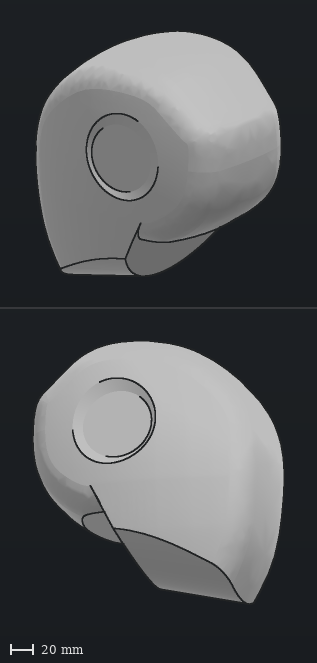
import cadquery as cq
import math

REARMOST = (107.5, 33)
SHELL_POINTS = [
    (-67.3, -134.5), (-77.2, -118), (-96.8, -77.2), (-105.0, -33.8), (-107.2, 5.5), (-100.4, 46.0), (-74.5, 82.2),
    (-35.0, 109.3), (12.3, 118), (57.5, 108.9), (89.5, 82.2), REARMOST,
]
REAR_POINTS = [REARMOST, (91.0, -21.3), (64.5, -43.7), (11.8, -52)]
CHIN_DIRECTION = (-1, 1.6)
DOWN = (0, -1)
FORWARD = (-1, 0)
SHRINK_CENTER = (0, 11.8)
SECTION_Y = 85
SIDE_SCALE = 0.82

DOME_X_RADIUS = 259.8
DOME_Z_RADIUS = 401.5
HALF_WIDTH = 76.3
SKIM = 0.05
DOME_X = -2.4
DOME_Z = 7
RIM_FILLET = 29.5

NECK_Z = -43.7
JAW_BOTTOM = (2.4, -99.2)
JAW_TOP = (42.5, -20.0)
JAW_BASE = (11.8, -134.5)
CHIN_TIP = (-77.2, -118)
CHIN_RADIUS = 91.0

RIM_CENTER = (22.0, 34.0)
RIM_AXES = (41.5, 37.3)
FLOOR_CENTER = (17.2, 31.9)
FLOOR_AXES = (32.0, 30.2)
RIM_Y = 71.8
FLOOR_Y = 70.1
RECESS_SLOPE_X = 0.08
RECESS_SLOPE_Z = 0.07

FAR = 472.3


def plane_at(y):
    """XZ plane at the given Y, with local x = X and local y = Z."""
    return cq.Plane(origin=(0, y, 0), xDir=(1, 0, 0), normal=(0, -1, 0))


def scaled(points, scale):
    cx, cz = SHRINK_CENTER
    return [(cx + scale * (x - cx), cz + scale * (z - cz)) for x, z in points]


def section(y, scale, curled_rear):
    """One shell outline, with the rear curling under or running straight down."""
    shell = scaled(SHELL_POINTS, scale)
    wire = cq.Workplane(plane_at(y)).moveTo(*shell[0])
    wire = wire.spline(shell[1:], tangents=[CHIN_DIRECTION, DOWN], includeCurrent=True)
    if curled_rear:
        rear = scaled(REAR_POINTS, scale)
        wire = wire.spline(rear[1:], tangents=[DOWN, FORWARD], includeCurrent=True)
    else:
        corners = scaled([(REARMOST[0], JAW_BOTTOM[1]), JAW_BASE], scale)
        wire = wire.lineTo(*corners[0]).lineTo(*corners[1])
    return wire.close().val()


def dome(side, half_width):
    """Drum turned about an axis along X, whose crowned rim is one domed side."""
    half_length = 189
    edge_sag = DOME_X_RADIUS - math.sqrt(DOME_X_RADIUS ** 2 - half_length ** 2)
    apex_y = side * half_width
    edge_y = side * (half_width - edge_sag)
    axis_y = side * (half_width - DOME_Z_RADIUS)
    plane = cq.Plane(origin=(DOME_X, 0, DOME_Z))
    return (
        cq.Workplane(plane)
        .moveTo(-half_length, axis_y)
        .lineTo(-half_length, edge_y)
        .threePointArc((0, apex_y), (half_length, edge_y))
        .lineTo(half_length, axis_y)
        .close()
        .revolve(360, (-half_length, axis_y), (half_length, axis_y))
    )


def rounded_body(curled_rear):
    """Crowned shell with domed sides and rounded rims."""
    sections = [
        section(-SECTION_Y, SIDE_SCALE, curled_rear),
        section(0, 1, curled_rear),
        section(SECTION_Y, SIDE_SCALE, curled_rear),
    ]
    body = cq.Workplane(cq.Solid.makeLoft(sections))
    for side in (-1, 1):
        body = body.intersect(dome(side, HALF_WIDTH + SKIM))
    rims = cq.selectors.BoxSelector((-FAR, -FAR, SHRINK_CENTER[1]), (FAR, -2.4, FAR))
    other_rims = cq.selectors.BoxSelector((-FAR, 2.4, SHRINK_CENTER[1]), (FAR, FAR, FAR))
    return body.edges(rims + other_rims).fillet(RIM_FILLET)


def front_half_space():
    """Everything in front of the sloping rear edge of the jaw."""
    dx = JAW_TOP[0] - JAW_BOTTOM[0]
    dz = JAW_TOP[1] - JAW_BOTTOM[1]
    reach = 5
    upper = (JAW_BOTTOM[0] + reach * dx, JAW_BOTTOM[1] + reach * dz)
    lower = (JAW_BOTTOM[0] - reach * dx, JAW_BOTTOM[1] - reach * dz)
    outline = [lower, upper, (-FAR, upper[1]), (-FAR, lower[1])]
    return cq.Workplane(plane_at(0)).polyline(outline).close().extrude(FAR, both=True)


def chin_envelope():
    """Round-bottomed prism along the sloping chin line."""
    dx = JAW_BOTTOM[0] - CHIN_TIP[0]
    dz = JAW_BOTTOM[1] - CHIN_TIP[1]
    along = cq.Vector(dx, 0, dz).normalized()
    start = cq.Vector(CHIN_TIP[0], 0, CHIN_TIP[1]) - along * FAR
    plane = cq.Plane(origin=start.toTuple(), xDir=(0, 1, 0), normal=along.toTuple())
    return (
        cq.Workplane(plane)
        .moveTo(-CHIN_RADIUS, FAR)
        .lineTo(-CHIN_RADIUS, CHIN_RADIUS)
        .threePointArc((0, 0), (CHIN_RADIUS, CHIN_RADIUS))
        .lineTo(CHIN_RADIUS, FAR)
        .close()
        .extrude(2 * FAR)
    )


def leaning_ellipse(side, y, center, axes):
    """Ellipse on a plane that leans with the dome."""
    plane = cq.Plane(
        origin=(center[0], side * y, center[1]),
        xDir=(1, -side * RECESS_SLOPE_X, 0),
        normal=(RECESS_SLOPE_X, side, RECESS_SLOPE_Z),
    )
    return cq.Workplane(plane).ellipse(*axes).val()


def extended(floor, rim):
    """Carry a taper from floor to rim on past the rim, clear of the dome."""
    reach = 4
    return floor + reach * (rim - floor)


def ear_recess(side):
    """Shallow tapered cutter for one side."""
    outer_center = [extended(f, r) for f, r in zip(FLOOR_CENTER, RIM_CENTER)]
    outer_axes = [extended(f, r) for f, r in zip(FLOOR_AXES, RIM_AXES)]
    floor = leaning_ellipse(side, FLOOR_Y, FLOOR_CENTER, FLOOR_AXES)
    outer = leaning_ellipse(side, extended(FLOOR_Y, RIM_Y), outer_center, outer_axes)
    return cq.Workplane(cq.Solid.makeLoft([floor, outer], True))


front_space = front_half_space()
jaw = rounded_body(False).intersect(front_space).intersect(chin_envelope())
above_neck = cq.Workplane().box(FAR, FAR, FAR).translate((0, 0, NECK_Z + FAR / 2))
rear = rounded_body(True).cut(front_space).intersect(above_neck)
result = jaw.union(rear, tol=0.001).clean()
for side in (-1, 1):
    result = result.intersect(dome(side, HALF_WIDTH)).cut(ear_recess(side))